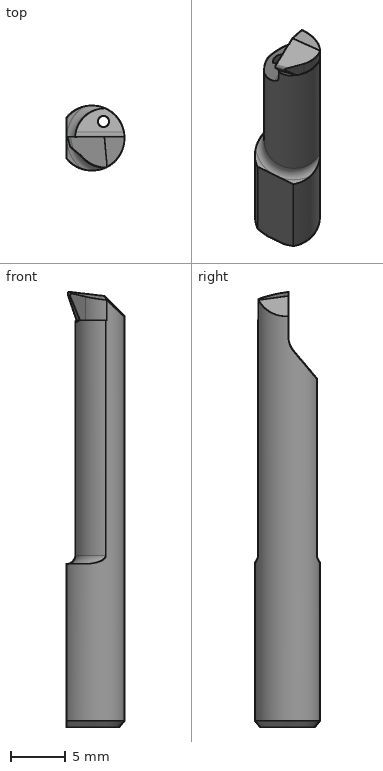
import cadquery as cq
import math

total_length = 40.0
shank_radius = 3.0
shank_length = 15.0
shank_flat_x = -2.35
end_chamfer_width = 0.5
end_chamfer_height = 0.6

neck_radius = 2.72
neck_center_x = 1.18
neck_fillet_radius = 0.8

rake_face_y = 0.1
recess_arc_radius = 2.0
recess_ramp_angle = 40.0
recess_ramp_end_z = 32.0

head_radius = 2.69
head_base_z = 37.4
nose_radius = 0.2
nose_corner_x = -2.33
flank_tangent_angle = 228.6
side_relief_slope = 0.2
side_back_slope = 0.34
side_floor_slope = 1.2
top_back_slope = 0.12
top_relief_slope = 0.13
bevel_start_x = 1.14
bevel_slope = 1.0
bevel_relief_slope = 0.05

coolant_diameter = 1.0
coolant_x = 1.06
coolant_y = 1.52

clearance = 20.0
run_out = 1.0


def outside_of_plane(origin, outward):
    """Large block on the outward side of a plane."""
    plane = cq.Plane(origin=origin, normal=outward)
    return cq.Workplane(plane).rect(2 * clearance, 2 * clearance).extrude(clearance)


def disc(radius, center_x, bottom_z, top_z):
    """Upright cylinder between two heights."""
    base = cq.Workplane("XY", origin=(center_x, 0, bottom_z))
    return base.circle(radius).extrude(top_z - bottom_z)


def make_shank():
    """Flatted cylinder with a conical chamfer around its lower end."""
    profile = (
        cq.Workplane("XZ")
        .lineTo(shank_radius - end_chamfer_width, 0)
        .lineTo(shank_radius, end_chamfer_height)
        .lineTo(shank_radius, shank_length)
        .lineTo(0, shank_length)
        .close()
    )
    shank = profile.revolve(360, (0, 0), (0, 1))
    return shank.cut(outside_of_plane((shank_flat_x, 0, 0), (-1, 0, 0)))


def make_neck(top_z):
    """Eccentric cylinder that flares onto the shoulder with a concave fillet."""
    fillet_outer = neck_radius + neck_fillet_radius
    fillet_top_z = shank_length + neck_fillet_radius
    fillet_chord = neck_fillet_radius * math.sqrt(0.5)
    fillet_middle = (fillet_outer - fillet_chord, fillet_top_z - fillet_chord)
    profile = (
        cq.Workplane("XZ", origin=(neck_center_x, 0, 0))
        .moveTo(0, shank_length)
        .lineTo(fillet_outer, shank_length)
        .threePointArc(fillet_middle, (neck_radius, fillet_top_z))
        .lineTo(neck_radius, top_z)
        .lineTo(0, top_z)
        .close()
    )
    neck = profile.revolve(360, (0, 0), (0, 1))
    return neck.intersect(disc(shank_radius, 0, shank_length, top_z))


def make_head():
    """Slightly slimmer continuation of the neck, widened toward the tip by a tangent flank."""
    angle = math.radians(flank_tangent_angle)
    tangent_x = neck_center_x + head_radius * math.cos(angle)
    tangent_y = head_radius * math.sin(angle)
    flank_end_x = tangent_x - (rake_face_y - tangent_y) * math.tan(angle)
    flank = (
        cq.Workplane("XY", origin=(0, 0, head_base_z))
        .moveTo(tangent_x, tangent_y)
        .lineTo(flank_end_x, rake_face_y)
        .lineTo(neck_center_x, rake_face_y)
        .lineTo(neck_center_x, 0)
        .close()
        .extrude(head_top_z - head_base_z)
    )
    head = disc(head_radius, neck_center_x, head_base_z, head_top_z).union(flank)
    return head.intersect(disc(shank_radius, 0, head_base_z, head_top_z))


def make_side_relief():
    """Material outside the relieved side face, above the sloping floor at its foot."""
    side_normal = (-1, -side_relief_slope, -side_back_slope)
    floor_normal = (-side_floor_slope, -side_floor_slope * side_relief_slope, 1)
    foot_x = nose_corner_x + side_back_slope * (nose_corner_z - head_base_z)
    side = outside_of_plane(nose_corner, side_normal)
    return side.intersect(outside_of_plane((foot_x, rake_face_y, head_base_z), floor_normal))


def make_chip_recess():
    """Material on the +Y side of the rake face, down to the run-out ramp."""
    ramp = math.radians(recess_ramp_angle)
    arc_end_y = rake_face_y + recess_arc_radius * (1 - math.cos(ramp))
    arc_middle_y = rake_face_y + recess_arc_radius * (1 - math.cos(ramp / 2))
    ramp_rise = (neck_radius - arc_end_y) / math.tan(ramp)
    arc_end_z = recess_ramp_end_z + ramp_rise
    arc_start_z = arc_end_z + recess_arc_radius * math.sin(ramp)
    arc_middle_z = arc_start_z - recess_arc_radius * math.sin(ramp / 2)
    outer_y = neck_radius + run_out
    outer_z = recess_ramp_end_z - (outer_y - neck_radius) / math.tan(ramp)
    top_z = total_length + run_out
    return (
        cq.Workplane("YZ")
        .moveTo(rake_face_y, top_z)
        .lineTo(rake_face_y, arc_start_z)
        .threePointArc((arc_middle_y, arc_middle_z), (arc_end_y, arc_end_z))
        .lineTo(outer_y, outer_z)
        .lineTo(outer_y, top_z)
        .close()
        .extrude(clearance, both=True)
    )


def make_coolant_hole():
    hole = cq.Workplane("XY").center(coolant_x, coolant_y)
    return hole.circle(coolant_diameter / 2).extrude(total_length)


side_angle = math.atan2(1, side_back_slope)
top_angle = math.atan(top_back_slope)
nose_half_angle = (side_angle - top_angle) / 2
nose_bisector_angle = (side_angle + top_angle) / 2
nose_drop = nose_radius * (math.sin(nose_bisector_angle) / math.sin(nose_half_angle) - 1)
nose_corner_z = total_length + nose_drop
nose_corner = (nose_corner_x, rake_face_y, nose_corner_z)
head_top_z = nose_corner_z + run_out

bevel_start_z = nose_corner_z - top_back_slope * (bevel_start_x - nose_corner_x)
top_normal = (top_back_slope, -top_relief_slope, 1)
bevel_normal = (bevel_slope, -bevel_relief_slope, 1)

result = make_shank().union(make_neck(head_base_z)).union(make_head())
result = result.cut(make_side_relief())
result = result.cut(make_chip_recess())
result = result.cut(outside_of_plane(nose_corner, top_normal))
result = result.cut(outside_of_plane((bevel_start_x, rake_face_y, bevel_start_z), bevel_normal))
result = result.edges(cq.NearestToPointSelector(nose_corner)).fillet(nose_radius)
result = result.cut(make_coolant_hole())